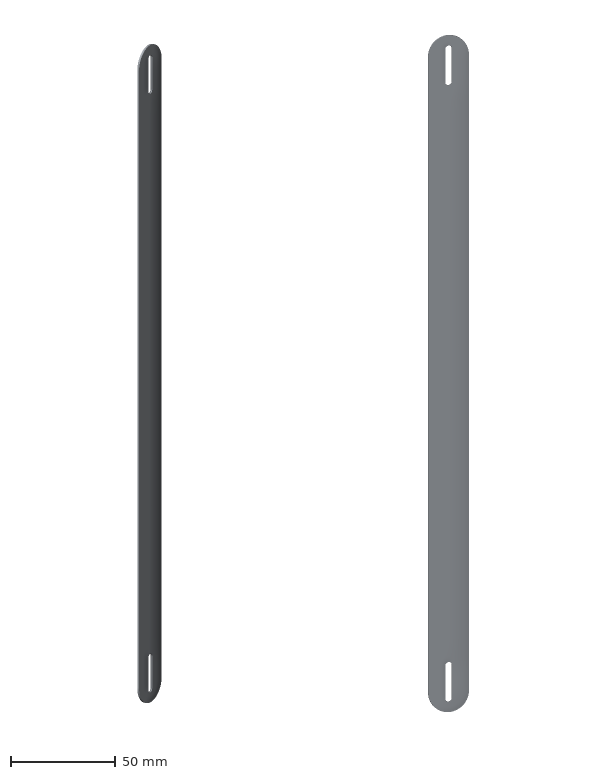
import cadquery as cq

length = 335.0
width = 20.0
thickness = 1.0

slot_length = 19.8
slot_width = 3.5
slot_end_margin = 5.0
slot_offset = length / 2 - slot_end_margin - slot_length / 2

strap = (
    cq.Workplane("YZ")
    .slot2D(length, width, 90)
    .extrude(thickness / 2, both=True)
)

slots = (
    cq.Workplane("YZ")
    .pushPoints([(0, -slot_offset), (0, slot_offset)])
    .slot2D(slot_length, slot_width, 90)
    .extrude(thickness, both=True)
)

result = strap.cut(slots)